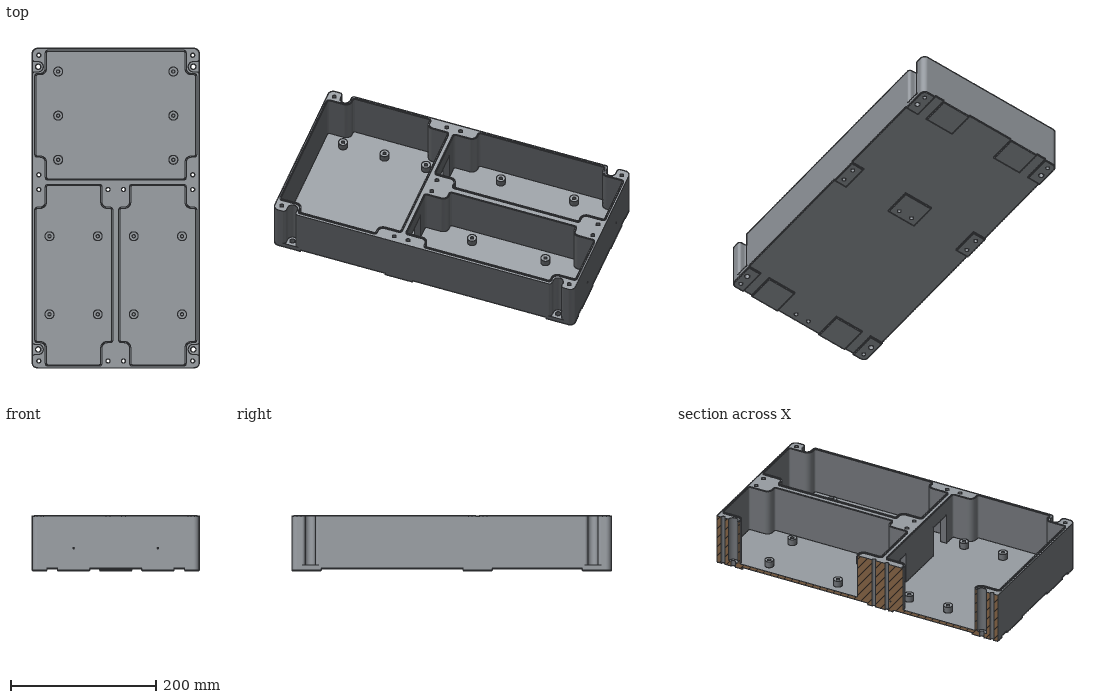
import cadquery as cq
LENGTH = 440.0
WIDTH = 230.0
HEIGHT = 76.5
CORNER_RADIUS = 7.5
BOTTOM_CHAMFER = 1.1
LIP_HEIGHT = 1.5
LIP_WIDTH = 1.8

FLOOR_Z = 8.5
SIDE_WALL = 5.5
END_WALL = 4.5
CROSS_WALL = 9.2
CROSS_WALL_Y = 35.5
CENTRE_WALL = 11.5

SIDE_POST_REACH = 20.0
CENTRE_POST_WIDTH = 41.5
CORNER_POST_LENGTH = 36.5
CROSS_POST_LENGTH = 36.0
POST_RADIUS = 9.0
POCKET_CORNER_RADIUS = 2.0

POST_HOLE_DIAMETER = 5.5
POST_HOLE_SIDE = 9.2
POST_HOLE_END = 9.5
CROSS_HOLE_OFFSET = 10.0
CENTRE_HOLE_X = 10.5

WELL_SIDE = 8.5
WELL_END = 25.5
WELL_RADIUS = 7.0
WELL_MOUTH_RADIUS = 4.0
WELL_FLOOR_Z = 8.5
WELL_HOLE_DIAMETER = 7.0

BOSS_DIAMETER = 12.5
BOSS_HEIGHT = 9.2
BOSS_HOLE_DIAMETER = 4.5
LARGE_BOSS_X = 79.0
LARGE_BOSS_Y = 127.0
LARGE_BOSS_PITCH = 60.5
SMALL_BOSS_PITCH = 66.5
SMALL_BOSS_YS = (-146.0, -38.5)

WINDOW_WIDTH = 36.5
WINDOW_TOP_Z = 53.5
PIN_HOLE_DIAMETER = 1.8
PIN_HOLE_Z = 31.2

FOOT_HEIGHT = 2.5
FOOT_LENGTH = 40.5
SIDE_FOOT_WIDTH = 20.5
INNER_FOOT_WIDTH = 45.0

HALF_X = WIDTH / 2
HALF_Y = LENGTH / 2
RIM_Z = HEIGHT - LIP_HEIGHT
CENTRE_POST_HALF = CENTRE_POST_WIDTH / 2
SIDE_POST_X = HALF_X - SIDE_POST_REACH
SMALL_POCKET_X = (SIDE_POST_X + CENTRE_POST_HALF) / 2
SIGNS = (-1, 1)


def block(bottom_z):
    """Outer body from bottom_z up to the rim, with rounded upright corners."""
    return (
        cq.Workplane("XY", origin=(0, 0, bottom_z))
        .rect(WIDTH, LENGTH)
        .extrude(RIM_Z - bottom_z)
        .edges("|Z").fillet(CORNER_RADIUS)
    )


def chamfer_underside(solid):
    return solid.faces("<Z").edges().chamfer(BOTTOM_CHAMFER)


def foot_prism(x, y, width):
    """Upright prism reaching from the ground past the chamfer of the raised underside."""
    top_z = FOOT_HEIGHT + BOTTOM_CHAMFER
    return cq.Workplane("XY").center(x, y).rect(width, FOOT_LENGTH).extrude(top_z)


def make_base():
    """Solid block standing on eleven feet."""
    end_row_y = HALF_Y - FOOT_LENGTH / 2
    side_foot_x = HALF_X - SIDE_FOOT_WIDTH / 2
    prisms = foot_prism(0, CROSS_WALL_Y, INNER_FOOT_WIDTH)
    for side in SIGNS:
        for y in (-end_row_y, CROSS_WALL_Y, end_row_y):
            prisms = prisms.union(foot_prism(side * side_foot_x, y, SIDE_FOOT_WIDTH))
        for y in (-end_row_y, end_row_y):
            prisms = prisms.union(foot_prism(side * SMALL_POCKET_X, y, INNER_FOOT_WIDTH))
    feet = block(0).intersect(prisms)
    return chamfer_underside(block(FOOT_HEIGHT)).union(chamfer_underside(feet))


def pocket_prism(wide_x, narrow_x, long_y, short_y):
    """Pocket space up to the lip top; each argument is a (low, high) span.

    The pocket is the cross formed by a narrow long bar and a wide short bar,
    so a post stands in each of its four corners.
    """
    def bar(x_span, y_span):
        return (
            cq.Workplane("XY", origin=(0, 0, FLOOR_Z))
            .center(sum(x_span) / 2, sum(y_span) / 2)
            .rect(x_span[1] - x_span[0], y_span[1] - y_span[0])
            .extrude(HEIGHT - FLOOR_Z)
            .edges("|Z").fillet(POCKET_CORNER_RADIUS)
        )

    cross = bar(narrow_x, long_y).union(bar(wide_x, short_y))
    middle_z = (FLOOR_Z + HEIGHT) / 2
    for x in narrow_x:
        for y in short_y:
            post_edge = cq.NearestToPointSelector((x, y, middle_z))
            cross = cross.edges("|Z").edges(post_edge).fillet(POST_RADIUS)
    return cross


def make_pockets():
    """The large pocket and the two small mirrored ones."""
    side_x = HALF_X - SIDE_WALL
    end_y = HALF_Y - END_WALL
    corner_post_y = HALF_Y - CORNER_POST_LENGTH
    large = pocket_prism(
        wide_x=(-side_x, side_x),
        narrow_x=(-SIDE_POST_X, SIDE_POST_X),
        long_y=(CROSS_WALL_Y + CROSS_WALL / 2, end_y),
        short_y=(CROSS_WALL_Y + CROSS_POST_LENGTH, corner_post_y),
    )
    small = pocket_prism(
        wide_x=(CENTRE_WALL / 2, side_x),
        narrow_x=(CENTRE_POST_HALF, SIDE_POST_X),
        long_y=(-end_y, CROSS_WALL_Y - CROSS_WALL / 2),
        short_y=(-corner_post_y, CROSS_WALL_Y - CROSS_POST_LENGTH),
    )
    return [large, small, small.mirror("YZ")]


def lip_around(pocket):
    """Solid plug on the rim, one lip width larger than the pocket all around."""
    return (
        pocket.faces(">Z").wires().toPending()
        .offset2D(LIP_WIDTH)
        .extrude(-LIP_HEIGHT, combine=False)
    )


def add_bosses(body):
    places = [
        (side * LARGE_BOSS_X, LARGE_BOSS_Y + step * LARGE_BOSS_PITCH)
        for side in SIGNS
        for step in (-1, 0, 1)
    ]
    places += [
        (side * SMALL_POCKET_X + column * SMALL_BOSS_PITCH / 2, y)
        for side in SIGNS
        for column in SIGNS
        for y in SMALL_BOSS_YS
    ]
    floor = cq.Workplane("XY", origin=(0, 0, FLOOR_Z)).pushPoints(places)
    bosses = floor.circle(BOSS_DIAMETER / 2).extrude(BOSS_HEIGHT)
    holes = floor.circle(BOSS_HOLE_DIAMETER / 2).extrude(BOSS_HEIGHT)
    return body.union(bosses).cut(holes)


def post_holes():
    side_x = HALF_X - POST_HOLE_SIDE
    end_y = HALF_Y - POST_HOLE_END
    above_y = CROSS_WALL_Y + CROSS_HOLE_OFFSET
    below_y = CROSS_WALL_Y - CROSS_HOLE_OFFSET
    places = []
    for side in SIGNS:
        places += [(side * side_x, y) for y in (-end_y, below_y, above_y, end_y)]
        places += [(side * CENTRE_HOLE_X, y) for y in (-end_y, below_y)]
    return cq.Workplane("XY").pushPoints(places).circle(POST_HOLE_DIAMETER / 2).extrude(HEIGHT)


def corner_well():
    """Well open to the +X side near the +Y end, with a rounded mouth and a hole in its floor."""
    x = HALF_X - WELL_SIDE
    y = HALF_Y - WELL_END
    mouth_x = HALF_X - WELL_MOUTH_RADIUS
    mouth_half = WELL_RADIUS + WELL_MOUTH_RADIUS
    well = (
        cq.Workplane("XY", origin=(0, 0, WELL_FLOOR_Z))
        .moveTo(HALF_X, y - mouth_half)
        .radiusArc((mouth_x, y - WELL_RADIUS), -WELL_MOUTH_RADIUS)
        .lineTo(x, y - WELL_RADIUS)
        .threePointArc((x - WELL_RADIUS, y), (x, y + WELL_RADIUS))
        .lineTo(mouth_x, y + WELL_RADIUS)
        .radiusArc((HALF_X, y + mouth_half), -WELL_MOUTH_RADIUS)
        .close()
        .extrude(HEIGHT - WELL_FLOOR_Z)
    )
    hole = cq.Workplane("XY").center(x, y).circle(WELL_HOLE_DIAMETER / 2).extrude(HEIGHT)
    return well.union(hole)


def cable_window(x):
    """Opening through the cross wall, standing on the floor."""
    return (
        cq.Workplane("XY", origin=(0, 0, FLOOR_Z))
        .center(x, CROSS_WALL_Y)
        .rect(WINDOW_WIDTH, CROSS_WALL)
        .extrude(WINDOW_TOP_Z - FLOOR_Z)
    )


def pin_holes():
    """Small holes through the -Y end wall, one into each small pocket."""
    return (
        cq.Workplane("XZ", origin=(0, -HALF_Y, PIN_HOLE_Z))
        .pushPoints([(side * SMALL_POCKET_X, 0) for side in SIGNS])
        .circle(PIN_HOLE_DIAMETER / 2)
        .extrude(-END_WALL)
    )


result = make_base()
pockets = make_pockets()
for pocket in pockets:
    result = result.union(lip_around(pocket))
for pocket in pockets:
    result = result.cut(pocket)
for side in SIGNS:
    result = result.cut(cable_window(side * SMALL_POCKET_X))
result = add_bosses(result)
result = result.cut(post_holes()).cut(pin_holes())

right_wells = corner_well().union(corner_well().mirror("XZ"))
result = result.cut(right_wells).cut(right_wells.mirror("YZ"))